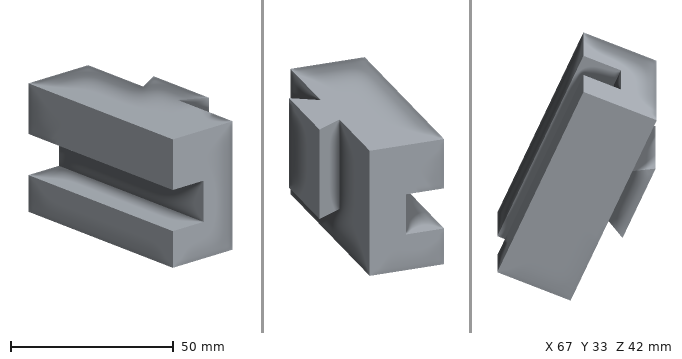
import cadquery as cq
import math

length = 67.0
height = 42.0
total_depth = 33.0
rail_depth = 8.5
body_depth = total_depth - rail_depth

slot_floor = 12.0
slot_height = 13.5
slot_depth = 12.5

rail_root_width = 15.95
rail_angle = 60.0
rail_flare = rail_depth / math.tan(math.radians(rail_angle))
rail_bottom = slot_floor


def make_body():
    """Plain block that carries the slot and the rail."""
    return cq.Workplane("XY").box(length, body_depth, height, centered=(True, False, False))


def make_slot():
    """Slot cutter running the full length of the block."""
    return (
        cq.Workplane("XY")
        .box(length, slot_depth, slot_height, centered=(True, False, False))
        .translate((0, 0, slot_floor))
    )


def make_rail():
    """Dovetail that widens away from the block and ends flush with its top."""
    root_half = rail_root_width / 2
    tip_half = root_half + rail_flare
    return (
        cq.Workplane("XY")
        .workplane(offset=rail_bottom)
        .polyline([
            (-root_half, body_depth),
            (root_half, body_depth),
            (tip_half, total_depth),
            (-tip_half, total_depth),
        ])
        .close()
        .extrude(height - rail_bottom)
    )


result = make_body().cut(make_slot()).union(make_rail())